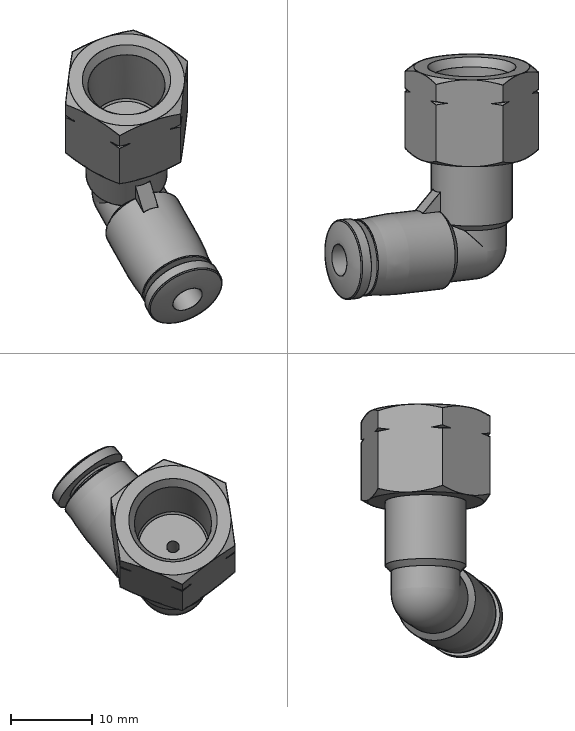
import cadquery as cq
import math


body_radius = 5.0
elbow_radius = 4.25
shoulder_step = body_radius - elbow_radius

hex_flats = 14.3
hex_corners = hex_flats / math.cos(math.pi / 6)
nut_height = 11.0
nut_top = 22.5
nut_bottom = nut_top - nut_height
nut_chamfer_angle = 30
nut_chamfer_drop = (hex_corners - hex_flats) / 2 * math.tan(math.radians(nut_chamfer_angle))
notch_drop = 3.0
notch_depth = 0.6
notch_half_height = 0.22
notch_z = nut_top - notch_drop

socket_mouth_radius = 5.45
socket_entry_radius = 4.745
socket_taper_end_radius = 4.5
socket_floor_radius = 4.25
socket_depth = 9.9
mouth_chamfer_depth = 1.1
socket_floor = nut_top - socket_depth

column_shoulder_z = 2.75

arm_shoulder_x = 4.2
taper_start_x = 11.25
taper_end_x = 14.25
sleeve_radius = 4.75
sleeve_end_x = 15.62
sleeve_chamfer = 0.1

neck_radius = 5.97 / 2
neck_flare = 0.16
neck_flare_length = 0.3
ring_radius = 4.95
ring_start_x = 16.58
ring_edge_x = 17.82
ring_bevel = 0.15
ring_end_x = 18.45
ring_face_radius = 2.48
ring_dome_mid_x = 18.35
ring_dome_mid_radius = 3.65

passage_radius = 1.5 / 2
tube_radius = 3.95 / 2
tube_stop_x = 4.95

web_width = 1.98
web_reach = 12.26


def rounded_elbow(radius, height, length):
    """Two equal round arms from the origin, joined by a ball at the corner."""
    upright = cq.Workplane("XY").circle(radius).extrude(height)
    sideways = cq.Workplane("YZ").circle(radius).extrude(length)
    return upright.union(sideways).union(cq.Workplane("XY").sphere(radius))


def turned_about_z(points):
    """Solid of revolution about Z from (radius, z) points."""
    return cq.Workplane("XZ").polyline(points).close().revolve(360, (0, 0, 0), (0, 1, 0))


def make_column():
    return turned_about_z([
        (0, column_shoulder_z),
        (elbow_radius, column_shoulder_z),
        (body_radius, column_shoulder_z + shoulder_step),
        (body_radius, nut_bottom),
        (0, nut_bottom),
    ])


def make_nut():
    prism = (
        cq.Workplane("XY", origin=(0, 0, nut_bottom))
        .polygon(6, hex_corners)
        .extrude(nut_height)
        .rotate((0, 0, 0), (0, 0, 1), 30)
    )
    corner_radius = hex_corners / 2
    flat_radius = hex_flats / 2
    envelope = turned_about_z([
        (0, nut_bottom),
        (flat_radius, nut_bottom),
        (corner_radius, nut_bottom + nut_chamfer_drop),
        (corner_radius, notch_z - notch_half_height),
        (corner_radius - notch_depth, notch_z),
        (corner_radius, notch_z + notch_half_height),
        (corner_radius, nut_top - nut_chamfer_drop),
        (flat_radius, nut_top),
        (0, nut_top),
    ])
    return prism.intersect(envelope)


def make_plug_arm():
    neck_flare_x = ring_start_x - neck_flare_length
    return (
        cq.Workplane("XY")
        .moveTo(arm_shoulder_x, 0)
        .lineTo(arm_shoulder_x, elbow_radius)
        .lineTo(arm_shoulder_x + shoulder_step, body_radius)
        .lineTo(taper_start_x, body_radius)
        .tangentArcPoint((taper_end_x, sleeve_radius), relative=False)
        .lineTo(sleeve_end_x - sleeve_chamfer, sleeve_radius)
        .lineTo(sleeve_end_x, sleeve_radius - sleeve_chamfer)
        .lineTo(sleeve_end_x, neck_radius)
        .lineTo(neck_flare_x, neck_radius)
        .lineTo(ring_start_x, neck_radius + neck_flare)
        .lineTo(ring_start_x, ring_radius)
        .lineTo(ring_edge_x, ring_radius)
        .lineTo(ring_edge_x + ring_bevel, ring_radius - ring_bevel)
        .threePointArc((ring_dome_mid_x, ring_dome_mid_radius), (ring_end_x, ring_face_radius))
        .lineTo(ring_end_x, 0)
        .close()
        .revolve(360, (0, 0, 0), (1, 0, 0))
    )


def make_web():
    return (
        cq.Workplane("XZ")
        .polyline([(0, 0), (web_reach, 0), (0, web_reach)])
        .close()
        .extrude(web_width / 2, both=True)
        .intersect(
            cq.Workplane("XY")
            .box(web_reach, web_width, web_reach, centered=(False, True, False))
            .translate((elbow_radius, 0, elbow_radius))
        )
    )


def make_nut_socket():
    return turned_about_z([
        (0, socket_floor),
        (socket_floor_radius, socket_floor),
        (socket_taper_end_radius, socket_floor + socket_taper_end_radius - socket_floor_radius),
        (socket_entry_radius, nut_top - mouth_chamfer_depth),
        (socket_mouth_radius, nut_top),
        (0, nut_top),
    ])


def make_tube_socket():
    return (
        cq.Workplane("YZ", origin=(tube_stop_x, 0, 0))
        .circle(tube_radius)
        .extrude(ring_end_x - tube_stop_x)
    )


outside = (
    rounded_elbow(elbow_radius, column_shoulder_z, arm_shoulder_x)
    .union(make_column())
    .union(make_nut())
    .union(make_plug_arm())
    .union(make_web())
)

result = (
    outside
    .cut(make_nut_socket())
    .cut(rounded_elbow(passage_radius, socket_floor, tube_stop_x))
    .cut(make_tube_socket())
)